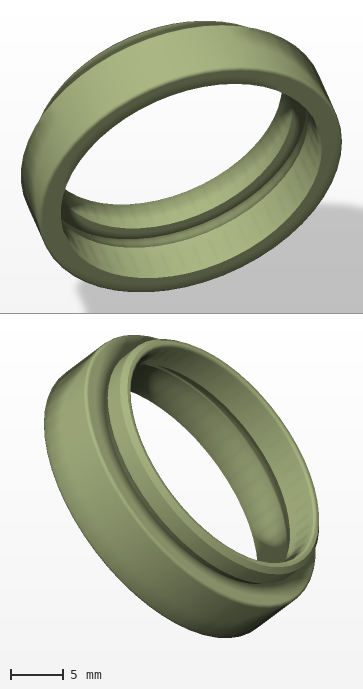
import cadquery as cq

total_length = 9.0
land_end = 2.2
flange_start = 3.0
lip_end = 3.4
relief_groove_end = 4.9

flange_diameter = 30.5
land_diameter = 26.29
land_relief_diameter = 25.4

bore_diameter = 24.1
socket_diameter = land_diameter
socket_relief_diameter = 27.0

land_chamfer = 0.5
flange_edge_radius = 0.3
bore_edge_radius = 0.3


def cylinder(diameter, start, end):
    """Solid cylinder on the X axis between two axial positions."""
    return cq.Workplane("YZ").workplane(offset=start).circle(diameter / 2).extrude(end - start)


def make_flange():
    """Wide outer ring with both rims rounded."""
    return cylinder(flange_diameter, flange_start, total_length).edges().fillet(flange_edge_radius)


def make_spigot():
    """Chamfered land followed by a narrower relief."""
    land = cylinder(land_diameter, 0, land_end).faces("<X").edges().chamfer(land_chamfer)
    relief = cylinder(land_relief_diameter, land_end, flange_start)
    return land.union(relief)


def cut_bore(body):
    """Through bore whose front mouth is rounded."""
    bored = body.cut(cylinder(bore_diameter, 0, total_length))
    mouth = bored.faces("<X").edges(cq.selectors.RadiusNthSelector(0))
    return mouth.fillet(bore_edge_radius)


def cut_rear_socket(body):
    """Rear socket that ends in a wider relief groove behind the bore lip."""
    groove = cylinder(socket_relief_diameter, lip_end, relief_groove_end)
    socket = cylinder(socket_diameter, lip_end, total_length)
    return body.cut(groove).cut(socket)


ring_blank = make_flange().union(make_spigot())
result = cut_rear_socket(cut_bore(ring_blank))